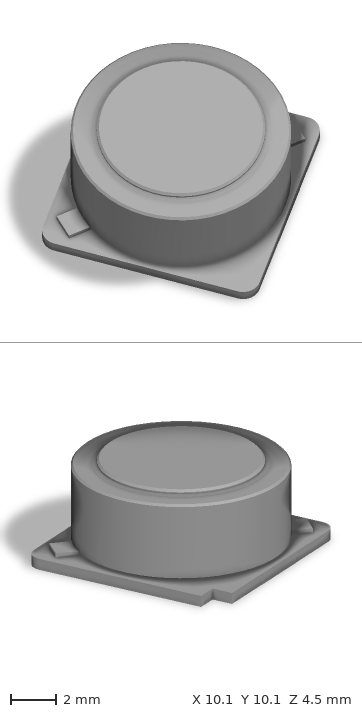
import cadquery as cq
import math

total_height = 4.5
plate_top = 0.53
spacer_top = 0.75
ring_top = 4.27

terminal_span = 10.12
plate_side = 10.1
plate_corner_radius = 0.76
notch_side = 1.0
terminal_width = 3.0
terminal_length = 2.02

spacer_radius = 4.49
tab_width = 1.19
tab_inner_reach = 4.05
tab_outer_reach = 5.89
tab_directions = (45, 225)

ring_radius = 4.9
ring_chamfer = 0.1
bore_radius = 3.98
core_radius = 3.74
core_chamfer = 0.1
bead_rise = 0.05

dot_radius = 0.44
dot_depth = 0.1
dot_x = -2.57


def make_terminal(side):
    """Terminal block through the plate's edge; side is -1 or 1 along X."""
    center_x = side * (terminal_span - terminal_length) / 2
    return (
        cq.Workplane("XY")
        .box(terminal_length, terminal_width, plate_top, centered=(True, True, False))
        .translate((center_x, 0, 0))
    )


def make_plate(terminals):
    """Square plate with a corner notch, three round corners and terminal pockets."""
    plate = (
        cq.Workplane("XY")
        .box(plate_side, plate_side, plate_top, centered=(True, True, False))
        .edges("|Z and (>X or <Y)")
        .fillet(plate_corner_radius)
    )
    notch_center = (plate_side - notch_side) / 2
    notch = (
        cq.Workplane("XY")
        .center(-notch_center, notch_center)
        .rect(notch_side, notch_side)
        .extrude(plate_top)
    )
    plate = plate.cut(notch)
    for terminal in terminals:
        plate = plate.cut(terminal)
    return plate


def make_tab(direction):
    """Flat wire end lying on the plate and pointing along a diagonal."""
    tab_length = tab_outer_reach - tab_inner_reach
    center_reach = (tab_outer_reach + tab_inner_reach) / 2
    angle = math.radians(direction)
    return (
        cq.Workplane("XY")
        .box(tab_length, tab_width, spacer_top - plate_top, centered=(True, True, False))
        .rotate((0, 0, 0), (0, 0, 1), direction)
        .translate((center_reach * math.cos(angle), center_reach * math.sin(angle), plate_top))
    )


def make_spacer(tabs):
    """Disc between the plate and the ring, with a rim slot for each tab."""
    spacer = (
        cq.Workplane("XY", origin=(0, 0, plate_top))
        .circle(spacer_radius)
        .extrude(spacer_top - plate_top)
    )
    for tab in tabs:
        spacer = spacer.cut(tab)
    return spacer


def make_ring():
    """Outer ring with a chamfered top rim."""
    ring = (
        cq.Workplane("XY", origin=(0, 0, spacer_top))
        .circle(ring_radius)
        .extrude(ring_top - spacer_top)
        .faces(">Z")
        .chamfer(ring_chamfer)
    )
    bore = (
        cq.Workplane("XY", origin=(0, 0, spacer_top))
        .circle(bore_radius)
        .extrude(ring_top - spacer_top)
    )
    return ring.cut(bore)


def make_bead():
    """Adhesive sleeve between core and ring, its top rising toward the core."""
    profile = [
        (core_radius, spacer_top),
        (bore_radius, spacer_top),
        (bore_radius, ring_top),
        (core_radius, ring_top + bead_rise),
    ]
    return cq.Workplane("XZ").polyline(profile).close().revolve(360, (0, 0), (0, 1))


def make_dot():
    """Round marker inlaid in the core's top face."""
    return (
        cq.Workplane("XY", origin=(dot_x, 0, total_height - dot_depth))
        .circle(dot_radius)
        .extrude(dot_depth)
    )


def make_core(dot):
    """Cylindrical core with a chamfered top and a recess for the dot."""
    core = (
        cq.Workplane("XY", origin=(0, 0, spacer_top))
        .circle(core_radius)
        .extrude(total_height - spacer_top)
        .faces(">Z")
        .chamfer(core_chamfer)
    )
    return core.cut(dot)


terminals = [make_terminal(side) for side in (-1, 1)]
plate = make_plate(terminals)
tabs = [make_tab(direction) for direction in tab_directions]
spacer = make_spacer(tabs)
ring = make_ring()
bead = make_bead()
dot = make_dot()
core = make_core(dot)

result = cq.Compound.makeCompound([
    plate.val(),
    *[terminal.val() for terminal in terminals],
    *[tab.val() for tab in tabs],
    spacer.val(),
    ring.val(),
    bead.val(),
    core.val(),
    dot.val(),
])